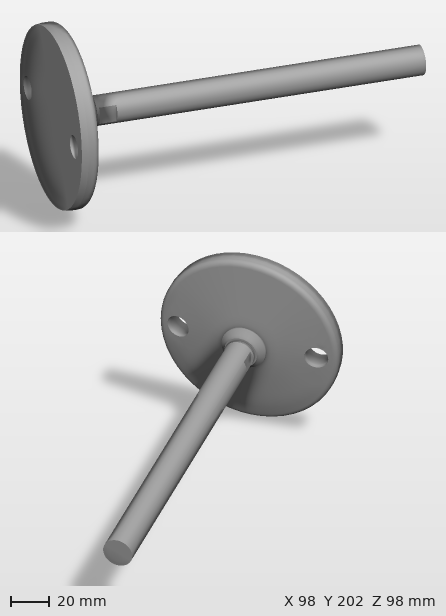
import cadquery as cq
import math

total_length = 202.0

foot_radius = 98.0 / 2
underside_radius = 48.5
underside_taper_height = 3.6
rim_height = 6.9
rim_fillet = 3.0
cone_angle = math.radians(9.3)
hub_radius = 12.1
hub_base_height = 16.5
hub_top_radius = 8.0
hub_top_height = 20.2
lip_radius = 8.9
lip_height = 20.8

hole_diameter = 12.5
hole_spacing = 72.3
hole_cut_length = 60.5

stud_radius = 16.0 / 2
neck_end_radius = 7.5
neck_radius = 6.9
neck_height = 21.8
shank_height = 22.6
flats_width = 13.0
flats_start = 24.0
flats_end = 33.5


def revolve_about_y(profile):
    return profile.close().revolve(360, (0, 0, 0), (0, 1, 0))


def rim_arc_point(angle):
    """Point on the rim fillet, with the angle measured from the radial direction."""
    return (
        foot_radius - rim_fillet + rim_fillet * math.cos(angle),
        rim_height + rim_fillet * math.sin(angle),
    )


def make_foot():
    arc_end_angle = math.pi / 2 - cone_angle
    arc_end = rim_arc_point(arc_end_angle)
    cone_top_height = arc_end[1] + (arc_end[0] - hub_radius) * math.tan(cone_angle)
    profile = (
        cq.Workplane("XY")
        .lineTo(underside_radius, 0)
        .lineTo(foot_radius, underside_taper_height)
        .lineTo(foot_radius, rim_height)
        .threePointArc(rim_arc_point(arc_end_angle / 2), arc_end)
        .lineTo(hub_radius, cone_top_height)
        .lineTo(hub_radius, hub_base_height)
        .lineTo(hub_top_radius, hub_top_height)
        .lineTo(lip_radius, lip_height)
        .lineTo(0, lip_height)
    )
    foot = revolve_about_y(profile)
    for side in (-1, 1):
        foot = foot.cut(make_hole_cutter(side))
    return foot


def make_hole_cutter(side):
    """Cylinder through the underside, leaning outward toward the conical back."""
    axis = cq.Vector(side * math.sin(cone_angle), math.cos(cone_angle), 0)
    underside_center = cq.Vector(side * hole_spacing / 2, 0, 0)
    start = underside_center - axis * (hole_cut_length / 2)
    return cq.Workplane(cq.Solid.makeCylinder(hole_diameter / 2, hole_cut_length, start, axis))


def make_stud():
    profile = (
        cq.Workplane("XY")
        .moveTo(0, lip_height)
        .lineTo(neck_end_radius, lip_height)
        .threePointArc((neck_radius, neck_height), (stud_radius, shank_height))
        .lineTo(stud_radius, total_length)
        .lineTo(0, total_length)
    )
    stud = revolve_about_y(profile)
    for side in (-1, 1):
        stud = stud.cut(make_flat_cutter(side))
    return stud


def make_flat_cutter(side):
    """Block that removes the stud material beyond one wrench flat."""
    block_size = 2 * stud_radius
    flats_length = flats_end - flats_start
    return cq.Workplane("XY").box(block_size, flats_length, block_size).translate(
        (side * (flats_width + block_size) / 2, flats_start + flats_length / 2, 0)
    )


foot = make_foot()
stud = make_stud()
result = cq.Compound.makeCompound([foot.val(), stud.val()])